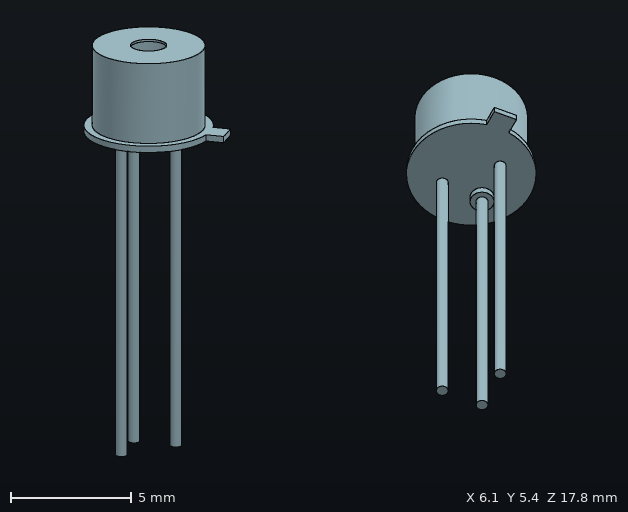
import cadquery as cq

total_height = 17.8
flange_diameter = 5.4
overall_length = 6.1

can_diameter = 4.7
can_inner_diameter = 4.5
can_height = 3.5
flange_thickness = 0.28
window_diameter = 1.5

tab_width = 1.01

lead_diameter = 0.5
lead_offset = 0.9
collar_diameter = 1.0
collar_height = 0.3

can_wall = (can_diameter - can_inner_diameter) / 2
lead_length = total_height - can_height - flange_thickness
tab_tip_x = overall_length - flange_diameter / 2
collar_position = (-lead_offset, lead_offset)
lead_positions = [
    collar_position,
    (-lead_offset, -lead_offset),
    (lead_offset, lead_offset),
]


def cylinder(diameter, bottom, height, centers=((0, 0),)):
    """Upright cylinders standing on the plane z = bottom."""
    return (
        cq.Workplane("XY", origin=(0, 0, bottom))
        .pushPoints(centers)
        .circle(diameter / 2)
        .extrude(height)
    )


can_top = flange_thickness + can_height
flange = cylinder(flange_diameter, 0, flange_thickness)
can = cylinder(can_diameter, flange_thickness, can_height)

tab = cq.Workplane("XY").box(
    tab_tip_x, tab_width, flange_thickness, centered=(False, True, False)
)

cavity = cylinder(can_inner_diameter, flange_thickness, can_height - can_wall)
window = cylinder(window_diameter, can_top - can_wall, can_wall)
shell = can.cut(cavity).cut(window)

leads = cylinder(lead_diameter, 0, -lead_length, lead_positions)
collar = cylinder(collar_diameter, 0, -collar_height, [collar_position])

result = flange.union(shell).union(tab).union(leads).union(collar)